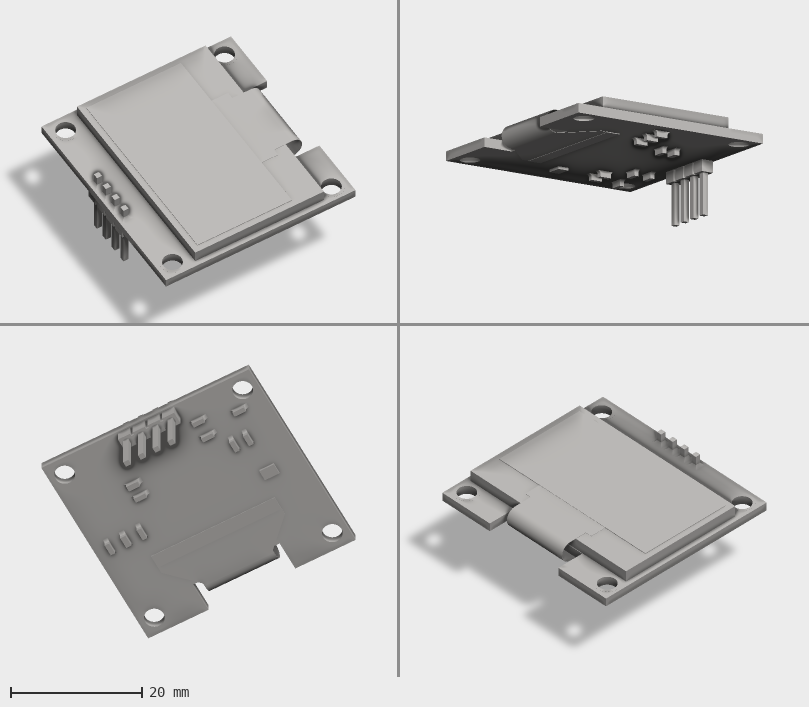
import cadquery as cq


BOARD_X = 36.0
BOARD_Y = 34.0
BOARD_T = 1.5
NOTCH_X = 15.1
NOTCH_Y = 5.0

HOLE_D = 3.15
PAD_D = 4.18
PAD_T = 0.018
HOLE_INSET_X = 2.55
HOLE_INSET_Y = 2.75

PANEL_X = 34.2
PANEL_Y = 23.08
PANEL_FRONT = 5.8
PANEL_T = 1.98
SCREEN_X = 32.1
SCREEN_Y = 16.95
SCREEN_FRONT = 6.85
SCREEN_T = 0.1

FLEX_T = 0.055
FLEX_X = 12.1
FLEX_ROOT_X = 14.47
FLEX_ROOT_Y = 3.0
BEND_Y = 30.02
TAIL_X = 21.45
TAIL_FLARE_BACK = 29.52
TAIL_FRONT = 21.53
STIFFENER_Y = 2.25
STIFFENER_T = 0.1

PIN_COUNT = 4
PIN_PITCH = 2.55
PIN_SIZE = 0.9
PIN_Y = 1.35
PIN_TAIL = 6.62
HEADER_SIZE = 2.1
HEADER_T = 1.87
HEADER_GROOVE_DEPTH = 0.45
SOLDER_SIZE = 2.1
SOLDER_HEIGHT = 0.45

SOLDER_HOLLOW = 0.35

CHIP_LENGTH = 1.95
CHIP_WIDTH = 0.75
WIDE_CHIP_WIDTH = 0.9
CHIP_T = 1.0
CHIP_SOLDER_REACH = 0.5
CHIP_SOLDER_HEIGHT = 0.45
CHIPS_ALONG_X = [
    (-7.02, 11.38, CHIP_WIDTH),
    (-7.02, 9.07, WIDE_CHIP_WIDTH),
    (7.02, 7.02, CHIP_WIDTH),
    (7.02, 4.05, CHIP_WIDTH),
    (13.4, 5.35, CHIP_WIDTH),
]
CHIPS_ALONG_Y = [
    (-15.4, 17.03, CHIP_WIDTH),
    (-12.65, 17.03, WIDE_CHIP_WIDTH),
    (-9.85, 17.03, CHIP_WIDTH),
    (9.85, 10.35, CHIP_WIDTH),
    (12.25, 10.35, CHIP_WIDTH),
]

LOW_X = 2.52
LOW_Y = 1.8
LOW_T = 0.45
LOW_CENTRE = (12.25, 17.1)

PANEL_TOP = BOARD_T + PANEL_T
PIN_XS = [(i - (PIN_COUNT - 1) / 2) * PIN_PITCH for i in range(PIN_COUNT)]


def block(size_x, size_y, z_low, z_high, x=0.0, y=0.0):
    """Box centred on (x, y) between two heights."""
    box = cq.Workplane("XY").box(size_x, size_y, z_high - z_low, centered=(True, True, False))
    return box.translate((x, y, z_low))


def front_block(size_x, size_y, y_front, z_low, z_high):
    """Box centred on X that starts at the given front edge."""
    return block(size_x, size_y, z_low, z_high, y=y_front + size_y / 2)


def solder_profile(plane, foot, top, height, depth):
    """Solder standing on the plane's origin, with concave sides, extruded to both sides."""
    half_foot = foot / 2
    half_top = top / 2
    reach = half_foot - half_top
    mid_x = half_top + reach * SOLDER_HOLLOW
    mid_z = height * SOLDER_HOLLOW
    return (
        cq.Workplane(plane)
        .moveTo(-half_foot, 0)
        .lineTo(half_foot, 0)
        .threePointArc((mid_x, mid_z), (half_top, height))
        .lineTo(-half_top, height)
        .threePointArc((-mid_x, mid_z), (-half_foot, 0))
        .close()
        .extrude(depth / 2, both=True)
    )


def make_board():
    board = front_block(BOARD_X, BOARD_Y, 0, 0, BOARD_T)
    return board.cut(front_block(NOTCH_X, NOTCH_Y, BOARD_Y - NOTCH_Y, 0, BOARD_T))


def hole_cylinders(diameter, z_low, z_high):
    spacing_x = BOARD_X - 2 * HOLE_INSET_X
    spacing_y = BOARD_Y - 2 * HOLE_INSET_Y
    return (
        cq.Workplane("XY", origin=(0, BOARD_Y / 2, z_low))
        .rarray(spacing_x, spacing_y, 2, 2)
        .circle(diameter / 2)
        .extrude(z_high - z_low)
    )


def make_display():
    panel = front_block(PANEL_X, PANEL_Y, PANEL_FRONT, BOARD_T, PANEL_TOP)
    screen = front_block(SCREEN_X, SCREEN_Y, SCREEN_FRONT, PANEL_TOP, PANEL_TOP + SCREEN_T)
    return panel.union(screen)


def make_flex():
    """Cable from the panel top, round the board's rear notch, to the board underside."""
    root_front = SCREEN_FRONT + SCREEN_Y
    root = front_block(FLEX_ROOT_X, FLEX_ROOT_Y, root_front, PANEL_TOP, PANEL_TOP + FLEX_T)
    strip = front_block(FLEX_X, BEND_Y - root_front, root_front, PANEL_TOP, PANEL_TOP + FLEX_T)

    inner_r = PANEL_TOP / 2
    outer_r = inner_r + FLEX_T
    bend = (
        cq.Workplane("YZ")
        .moveTo(BEND_Y, -FLEX_T)
        .threePointArc((BEND_Y + outer_r, inner_r), (BEND_Y, PANEL_TOP + FLEX_T))
        .lineTo(BEND_Y, PANEL_TOP)
        .threePointArc((BEND_Y + inner_r, inner_r), (BEND_Y, 0))
        .close()
        .extrude(FLEX_X / 2, both=True)
    )

    flare = (TAIL_X - FLEX_X) / 2
    tail = (
        cq.Workplane("XY", origin=(0, 0, -FLEX_T))
        .moveTo(0, TAIL_FRONT)
        .lineTo(TAIL_X / 2, TAIL_FRONT)
        .lineTo(TAIL_X / 2, TAIL_FLARE_BACK - flare)
        .lineTo(FLEX_X / 2, TAIL_FLARE_BACK)
        .lineTo(FLEX_X / 2, BEND_Y)
        .lineTo(0, BEND_Y)
        .mirrorY()
        .extrude(FLEX_T)
    )
    stiffener = front_block(TAIL_X, STIFFENER_Y, TAIL_FRONT, -STIFFENER_T, 0)
    return root.union(strip).union(bend).union(tail).union(stiffener)


def make_pin_header():
    row_x = PIN_XS[-1] - PIN_XS[0]
    core_y = HEADER_SIZE - 2 * HEADER_GROOVE_DEPTH
    header = block(row_x, core_y, -HEADER_T, 0, y=PIN_Y)
    joint = solder_profile("XZ", SOLDER_SIZE, PIN_SIZE, SOLDER_HEIGHT, SOLDER_SIZE).intersect(
        solder_profile("YZ", SOLDER_SIZE, PIN_SIZE, SOLDER_HEIGHT, SOLDER_SIZE)
    )
    for x in PIN_XS:
        header = header.union(block(HEADER_SIZE, HEADER_SIZE, -HEADER_T, 0, x, PIN_Y))
        header = header.union(block(PIN_SIZE, PIN_SIZE, -HEADER_T - PIN_TAIL, PANEL_TOP, x, PIN_Y))
        header = header.union(joint.translate((x, PIN_Y, BOARD_T)))
    return header


def make_chip(width):
    """Chip along X with a concave solder fillet at each end, hanging below Z = 0."""
    foot = CHIP_LENGTH + 2 * CHIP_SOLDER_REACH
    solder = solder_profile("XZ", foot, CHIP_LENGTH, CHIP_SOLDER_HEIGHT, width)
    return block(CHIP_LENGTH, width, -CHIP_T, 0).union(solder.mirror("XY"))


def make_components():
    parts = block(LOW_X, LOW_Y, -LOW_T, 0, *LOW_CENTRE)
    for x, y, width in CHIPS_ALONG_X:
        parts = parts.union(make_chip(width).translate((x, y, 0)))
    for x, y, width in CHIPS_ALONG_Y:
        turned = make_chip(width).rotate((0, 0, 0), (0, 0, 1), 90)
        parts = parts.union(turned.translate((x, y, 0)))
    return parts


result = (
    make_board()
    .union(hole_cylinders(PAD_D, BOARD_T, BOARD_T + PAD_T))
    .cut(hole_cylinders(HOLE_D, 0, BOARD_T + PAD_T))
    .union(make_display())
    .union(make_flex())
    .union(make_components())
    .union(make_pin_header())
)